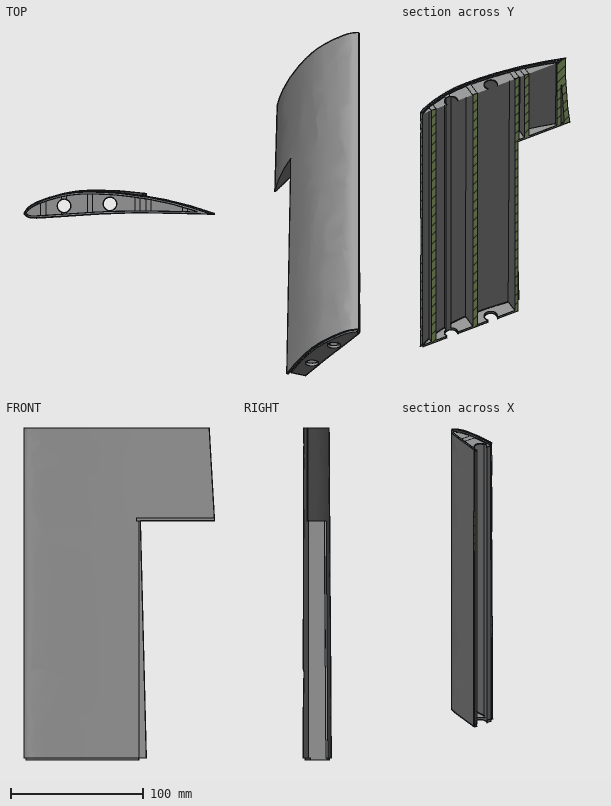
import cadquery as cq
import math

height = 251.5
joint_depth = 1.5
root_chord = 154.7
tip_chord = 140.3
skin = 1.5
plate = 0.8
margin = 25.1

cutout_top = 181.0
cutout_rib = 2.3
cutout_rib_start = 85.3
cutout_rib_step = 0.3
rear_wall = 87.0
lip_root = 92.8
lip_top = 88.3

web = 4.0
cavity_end_below = (144.5, 1.0)
cavity_end_above = (144.5, 1.3)
web_starts = (12.5, 28.5, 48.0, 84.0, 92.3, 120.0)
hole_diameter = 10.0
hole_centres = ((30.5, 5.5), (65.1, 7.0))

airfoil = [
    (root_chord, -0.8),
    (113.2, 0.3),
    (73.0, 0.0),
    (38.0, -2.0),
    (11.0, -3.8),
    (3.3, -3.0),
    (0.0, -0.3),
    (3.0, 4.0),
    (12.5, 9.5),
    (28.5, 14.5),
    (42.8, 17.0),
    (56.8, 17.5),
    (91.5, 15.0),
    (115.0, 11.0),
    (root_chord, -0.3),
]


def inset_points(points, depth):
    """Move each point but the two end ones inward, square to the line joining its neighbours."""
    moved = []
    for before, here, after in zip(points, points[1:], points[2:]):
        along_x = after[0] - before[0]
        along_y = after[1] - before[1]
        length = math.hypot(along_x, along_y)
        moved.append((here[0] + depth * along_y / length, here[1] - depth * along_x / length))
    return moved


def airfoil_wire(points, z):
    """Smooth outline through the root points, closed by a straight edge and scaled to the chord at height z."""
    share = (z - joint_depth) / (height - joint_depth)
    scale = 1 + (tip_chord / root_chord - 1) * share
    sized = [(x * scale, y * scale) for x, y in points]
    nose = min(range(len(sized)), key=lambda place: sized[place][0])
    outline = (
        cq.Workplane("XY")
        .spline(sized[: nose + 1])
        .spline(sized[nose:])
        .close()
    )
    return outline.val().moved(cq.Location(cq.Vector(0, 0, z)))


def tapered_body(points, bottom, top):
    wires = [airfoil_wire(points, bottom), airfoil_wire(points, top)]
    return cq.Workplane(cq.Solid.makeLoft(wires, True))


def block(x_start, x_end, bottom, top):
    """Block across the full thickness of the panel."""
    return (
        cq.Workplane("XY", origin=(0, 0, bottom))
        .moveTo(x_start, -margin)
        .lineTo(x_end, -margin)
        .lineTo(x_end, margin)
        .lineTo(x_start, margin)
        .close()
        .extrude(top - bottom)
    )


far_x = root_chord + margin
cap_top = height - joint_depth
cap_bottom = cap_top - plate
floor_top = joint_depth + plate

cavity_outline = [cavity_end_below] + inset_points(airfoil, skin) + [cavity_end_above]
outer = tapered_body(airfoil, joint_depth, height)
inner = tapered_body(cavity_outline, 0, height)


def hollow_bays():
    """Open spaces between the end plates, parted by the webs, the aileron rib and the rear wall."""
    bays = inner.intersect(block(0, far_x, floor_top, cap_bottom))
    for start in web_starts:
        bays = bays.cut(block(start, start + web, 0, height))
    return bays.cut(block(cutout_rib_start, far_x, 0, cutout_top + cutout_rib))


def aileron_cutout():
    """Space behind the rear wall and under the upper skin, plus everything past the lip."""
    under_skin = outer.translate((0, -skin, 0)).intersect(block(rear_wall, far_x, 0, cutout_top))
    past_lip = (
        cq.Workplane("XZ", origin=(0, margin, 0))
        .moveTo(lip_root, 0)
        .lineTo(far_x, 0)
        .lineTo(far_x, cutout_top)
        .lineTo(lip_top, cutout_top)
        .close()
        .extrude(2 * margin)
    )
    return under_skin, past_lip


panel = outer
panel = panel.cut(inner.intersect(block(0, far_x, cap_top, height)))
panel = panel.cut(hollow_bays())
for space in aileron_cutout():
    panel = panel.cut(space)

rib_section = airfoil_wire(airfoil, cutout_top)
rib = cq.Workplane(cq.Solid.extrudeLinear(rib_section, [], cq.Vector(0, 0, cutout_rib)))
rib = rib.translate((0, -cutout_rib_step, 0))
panel = panel.union(rib.intersect(block(cutout_rib_start, far_x, cutout_top, cutout_top + cutout_rib)))

panel = panel.union(inner.intersect(block(0, rear_wall, 0, floor_top)))

holes = cq.Workplane("XY").pushPoints(hole_centres).circle(hole_diameter / 2).extrude(height)
result = panel.cut(holes).solids()